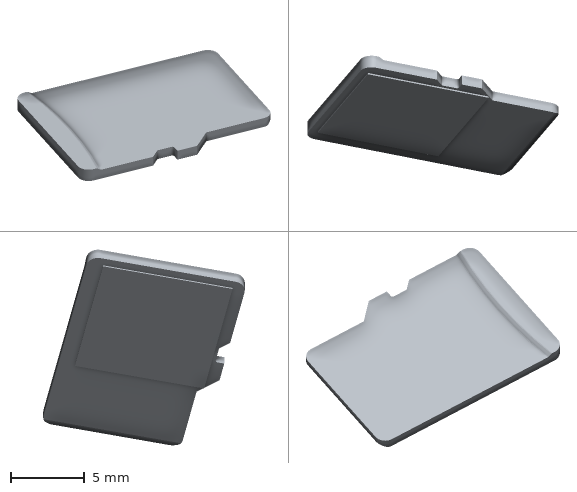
import cadquery as cq
import math

width = 11.0
length = 15.0
corner_radius = 0.8

pad_height = 0.1
plate_height = 0.7
lip_height = 0.2
plate_top = pad_height + plate_height
lip_top = plate_top + lip_height

shoulder_depth = 1.3
shoulder_low_y = 8.58
notch_depth = 0.63
notch_top_y = 7.1
notch_ramp_top_y = 5.9
notch_corner_radius = 0.15

lip_toe_y = 1.82
lip_bow = 0.46
lip_slope_run = 0.32
lip_round_radius = 0.15

lead_in_length = 0.52
lead_in_height = 0.25

pad_left_x = 1.11
pad_right_x = 10.11
pad_near_y = 0.57
pad_far_y = 9.42


def make_blank():
    """Card outline extruded to the full height of the lip."""
    narrow_x = width - shoulder_depth
    notch_x = width - notch_depth
    blank = (
        cq.Workplane("XY")
        .workplane(offset=pad_height)
        .moveTo(0, 0)
        .lineTo(width, 0)
        .lineTo(width, notch_ramp_top_y - notch_depth)
        .lineTo(notch_x, notch_ramp_top_y)
        .lineTo(notch_x, notch_top_y)
        .lineTo(width, notch_top_y)
        .lineTo(width, shoulder_low_y)
        .lineTo(narrow_x, shoulder_low_y + shoulder_depth)
        .lineTo(narrow_x, length)
        .lineTo(0, length)
        .close()
        .extrude(plate_height + lip_height)
    )
    outer_corners = [(0, 0), (width, 0), (narrow_x, length), (0, length)]
    for x, y in outer_corners:
        blank = blank.edges(vertical_edge_at(x, y)).fillet(corner_radius)
    return blank.edges(vertical_edge_at(notch_x, notch_top_y)).fillet(notch_corner_radius)


def vertical_edge_at(x, y):
    """Selector for the vertical blank edge nearest to (x, y)."""
    return cq.selectors.NearestToPointSelector((x, y, (pad_height + lip_top) / 2))


def make_lip_envelope():
    """Large disc whose rim, seen at the card, is the rounded slope of the lip."""
    bow_radius = ((width / 2) ** 2 + lip_bow**2) / (2 * lip_bow)
    crest_radius = bow_radius - lip_slope_run
    slope_angle = math.atan2(lip_height, lip_slope_run)
    tangent = lip_round_radius * math.tan(slope_angle / 2)
    along_r = tangent * math.cos(slope_angle)
    along_z = tangent * math.sin(slope_angle)
    half_r = lip_round_radius * math.sin(slope_angle / 2)
    half_z = lip_round_radius * (1 - math.cos(slope_angle / 2))

    toe_start = bow_radius + tangent
    crest_end = crest_radius - tangent
    return (
        cq.Workplane("XZ")
        .moveTo(0, pad_height)
        .lineTo(bow_radius + length, pad_height)
        .lineTo(bow_radius + length, plate_top)
        .lineTo(toe_start, plate_top)
        .threePointArc(
            (toe_start - half_r, plate_top + half_z),
            (bow_radius - along_r, plate_top + along_z),
        )
        .lineTo(crest_radius + along_r, lip_top - along_z)
        .threePointArc((crest_end + half_r, lip_top - half_z), (crest_end, lip_top))
        .lineTo(0, lip_top)
        .close()
        .revolve(360, (0, 0), (0, 1))
        .translate((width / 2, lip_toe_y - bow_radius, 0))
    )


def make_lead_in_cutter():
    """Wedge removed from the lower edge of the far end."""
    return (
        cq.Workplane("YZ")
        .moveTo(length - lead_in_length, pad_height)
        .lineTo(length, pad_height)
        .lineTo(length, pad_height + lead_in_height)
        .close()
        .extrude(width)
    )


def make_pad():
    """Thin rectangular contact pad below the plate."""
    return cq.Workplane("XY").box(
        pad_right_x - pad_left_x, pad_far_y - pad_near_y, pad_height, centered=False
    ).translate((pad_left_x, pad_near_y, 0))


card = make_blank().intersect(make_lip_envelope()).cut(make_lead_in_cutter())
result = card.union(make_pad())